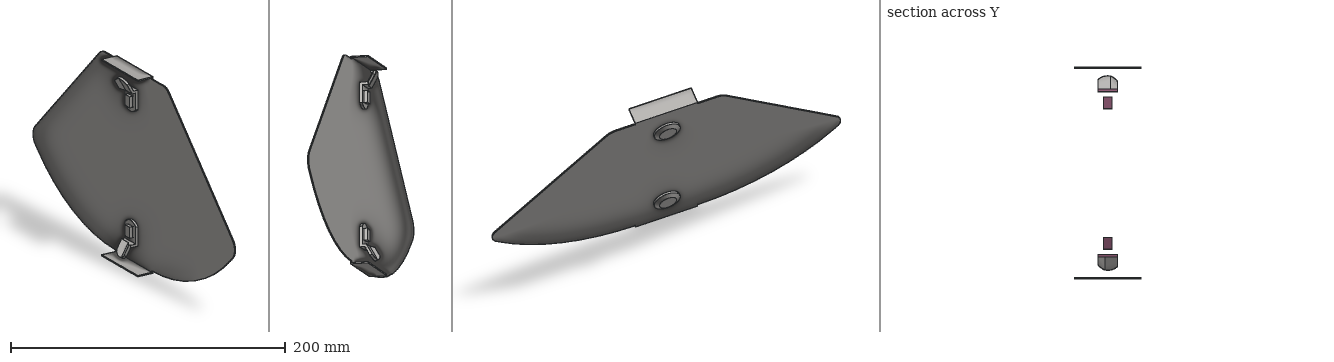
import cadquery as cq
import math

plate_width = 271.7
plate_height = 150.0
plate_thickness = 1.0
plate_back_y = 5.2
plate_front_y = plate_back_y - plate_thickness
corner_radius = 10.0
side_angle = 45.0

overall_height = 154.0
flange_width = 48.6
flange_length = 13.0

latch_z = 51.0

knob_diameter = 20.5
knob_top_diameter = 13.3
knob_rim_height = 1.5
knob_height = 3.3
shaft_width = 6.2
shaft_height = 8.7
shaft_end_y = -1.4

lever_thickness = 2.0
lever_gap = 0.8
lever_width = 14.5
lever_end_sag = 3.3
lever_reach = 8.5
shelf_top = 10.0
shelf_end_y = -0.45
blade_length = 11.1
blade_tilt = 30.0
crease_x = -2.2
wing_angle = 25.0


def make_plate():
    """Fan-shaped sheet with its flanges and the holes for both shafts."""
    half_height = plate_height / 2
    half_flange = flange_width / 2
    slope = math.radians(side_angle)
    arc_radius = plate_height

    arc_end_x = half_flange + arc_radius * math.sin(slope)
    arc_end_z = half_height - arc_radius * math.cos(slope)
    arc_middle_x = half_flange + arc_radius * math.sin(slope / 2)
    arc_middle_z = half_height - arc_radius * math.cos(slope / 2)
    corner_x = plate_width / 2 + corner_radius * (1 / math.cos(slope) - 1)
    corner_z = arc_end_z + (corner_x - arc_end_x) * math.tan(slope)
    top_x = corner_x - (half_height - corner_z) / math.tan(slope)

    sheet = (
        cq.Workplane("XZ", origin=(0, plate_back_y, 0))
        .moveTo(-half_flange, -half_height)
        .lineTo(half_flange, -half_height)
        .threePointArc((arc_middle_x, arc_middle_z), (arc_end_x, arc_end_z))
        .lineTo(corner_x, corner_z)
        .lineTo(top_x, half_height)
        .lineTo(-top_x, half_height)
        .lineTo(-corner_x, corner_z)
        .lineTo(-arc_end_x, arc_end_z)
        .threePointArc((-arc_middle_x, arc_middle_z), (-half_flange, -half_height))
        .close()
        .extrude(plate_thickness)
    )
    corners = [
        (-corner_x, corner_z),
        (corner_x, corner_z),
        (-top_x, half_height),
        (top_x, half_height),
    ]
    middle_y = (plate_back_y + plate_front_y) / 2
    for x, z in corners:
        corner_edge = cq.selectors.NearestToPointSelector((x, middle_y, z))
        sheet = sheet.edges("|Y").edges(corner_edge).fillet(corner_radius)

    shaft = make_shaft()
    sheet = sheet.cut(shaft).cut(turn_over(shaft))

    upper_flange = make_flange()
    lower_flange = upper_flange.mirror("XY")
    return sheet.union(upper_flange).union(lower_flange)


def make_flange():
    """Upper flange, with the strip of sheet that rises from the top edge to it."""
    outer_z = overall_height / 2
    inner_z = outer_z - plate_thickness
    root_z = plate_height / 2 - plate_thickness
    end_y = plate_back_y - flange_length
    return (
        cq.Workplane("YZ", origin=(-flange_width / 2, 0, 0))
        .moveTo(plate_back_y, root_z)
        .lineTo(plate_back_y, outer_z)
        .lineTo(end_y, outer_z)
        .lineTo(end_y, inner_z)
        .lineTo(plate_front_y, inner_z)
        .lineTo(plate_front_y, root_z)
        .close()
        .extrude(flange_width)
    )


def make_shaft():
    """Rectangular shaft of the upper knob, also the shape of the holes it passes through."""
    return (
        cq.Workplane("XZ", origin=(0, plate_back_y, latch_z))
        .rect(shaft_width, shaft_height)
        .extrude(plate_back_y - shaft_end_y)
    )


def make_knob():
    """Upper knob: round rim and coned cap against the back of the plate, with its shaft."""
    rim_y = plate_back_y + knob_rim_height
    top_y = plate_back_y + knob_height
    head = (
        cq.Workplane("XY")
        .moveTo(0, plate_back_y)
        .lineTo(knob_diameter / 2, plate_back_y)
        .lineTo(knob_diameter / 2, rim_y)
        .lineTo(knob_top_diameter / 2, top_y)
        .lineTo(0, top_y)
        .close()
        .revolve(360, (0, 0, 0), (0, 1, 0))
        .translate((0, 0, latch_z))
    )
    return head.union(make_shaft())


def make_lever():
    """Upper lever: flat base on the shaft, shelf along its top edge, and tilted blade."""
    half = lever_width / 2
    top_z = latch_z + shelf_top
    back_y = plate_front_y - lever_gap

    base = (
        cq.Workplane("XZ", origin=(0, back_y, latch_z))
        .moveTo(-half, shelf_top)
        .lineTo(-half, lever_end_sag - lever_reach)
        .threePointArc((0, -lever_reach), (half, lever_end_sag - lever_reach))
        .lineTo(half, shelf_top)
        .close()
        .extrude(lever_thickness)
    )

    wing_width = half + crease_x
    wing_slope = math.tan(math.radians(wing_angle))
    wing_jut = wing_width * wing_slope / math.cos(math.radians(blade_tilt))
    shelf = (
        cq.Workplane("XY", origin=(0, 0, top_z - lever_thickness))
        .moveTo(-half, back_y)
        .lineTo(-half, shelf_end_y - wing_jut)
        .lineTo(crease_x, shelf_end_y)
        .lineTo(half, shelf_end_y)
        .lineTo(half, back_y)
        .close()
        .extrude(lever_thickness)
    )
    return base.union(shelf).union(make_blade(top_z)).cut(make_shaft())


def make_blade(bend_z):
    """Tilted end of the lever: a sheet creased along its length, with one wing bent forward."""
    half = lever_width / 2
    tilt = math.radians(blade_tilt)
    wing = math.radians(wing_angle)
    wing_width = half + crease_x
    wing_drop = wing_width * math.tan(wing)
    fold_shift = lever_thickness * math.tan(wing / 2)
    blade_direction = cq.Vector(0, -math.sin(tilt), math.cos(tilt))
    sheet_normal = cq.Vector(0, math.cos(tilt), math.sin(tilt))
    bend_point = cq.Vector(0, shelf_end_y, bend_z)

    root = 2 * lever_thickness
    section_plane = cq.Plane(bend_point - blade_direction * root, xDir=(1, 0, 0), normal=blade_direction)
    sheet = (
        cq.Workplane(section_plane)
        .moveTo(half, 0)
        .lineTo(crease_x, 0)
        .lineTo(-half, -wing_drop)
        .lineTo(
            -half + lever_thickness * math.sin(wing),
            -wing_drop - lever_thickness * math.cos(wing),
        )
        .lineTo(crease_x + fold_shift, -lever_thickness)
        .lineTo(half, -lever_thickness)
        .close()
        .extrude(root + blade_length)
    )

    outline_plane = cq.Plane(bend_point, xDir=(-1, 0, 0), normal=sheet_normal)
    outline = (
        cq.Workplane(outline_plane)
        .moveTo(-half, -root)
        .lineTo(-half, blade_length - lever_end_sag)
        .threePointArc((0, blade_length), (half, blade_length - lever_end_sag))
        .lineTo(half, -root)
        .close()
        .extrude(lever_width, both=True)
    )

    below_shelf = (
        cq.Workplane("XY", origin=(0, shelf_end_y, bend_z - lever_thickness))
        .rect(2 * lever_width, 2 * lever_width)
        .extrude(-lever_width)
    )
    return sheet.intersect(outline).cut(below_shelf)


def turn_over(body):
    """The matching body of the lower latch: half a turn about the Y axis."""
    return body.rotate((0, 0, 0), (0, 1, 0), 180)


plate = make_plate()
bodies = [plate.val()]
for upper_body in (make_knob(), make_lever()):
    lower_body = turn_over(upper_body)
    bodies.extend([upper_body.val(), lower_body.val()])

result = cq.Compound.makeCompound(bodies)